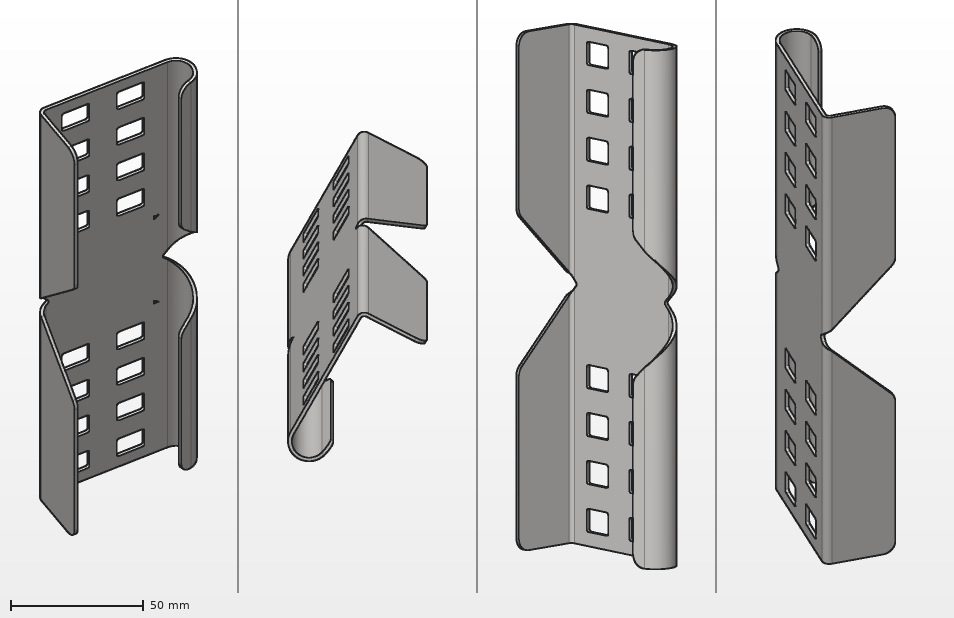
import cadquery as cq
import math

length = 200.0
depth = 64.0
flange_width = 28.5
sheet = 1.5

corner_radius = 3.0
corner_sweep = 90.0
hook_radius = 8.0
hook_sweep = 165.0
lip_length = 5.0
neutral_fraction = 1 / 3

edge_corner_radius = 5.0

corner_notch_half_width = 1.5
hook_notch_half_width = 2.5
notch_tip_radius = 1.0

window_width = 12.0
window_height = 9.0
window_radius = 1.0
window_first_column = 16.0
window_column_pitch = 24.0
window_columns = 2
window_end_distance = 10.0
window_rows = 4
window_rows_span = 55.5

cut_margin = sheet / 2

corner_axis = (corner_radius, corner_radius)
hook_axis = (hook_radius, depth - hook_radius)
lip_slope = math.radians(180 - hook_sweep)
lip_direction = (math.sin(lip_slope), -math.cos(lip_slope))


def polar(centre, radius, angle):
    """Point on a circle, the angle in degrees from +X."""
    turn = math.radians(angle)
    return (centre[0] + radius * math.cos(turn), centre[1] + radius * math.sin(turn))


def along_lip(point, distance):
    return (point[0] + distance * lip_direction[0], point[1] + distance * lip_direction[1])


def bent_sheet():
    """The full-length sheet: flange, corner bend, web, hook and lip."""
    corner_inner = corner_radius - sheet
    hook_inner = hook_radius - sheet
    hook_end = 180 - hook_sweep
    hook_middle = 180 - hook_sweep / 2
    corner_middle = 180 + corner_sweep / 2
    lip_outer = along_lip(polar(hook_axis, hook_radius, hook_end), lip_length)
    lip_inner = along_lip(polar(hook_axis, hook_inner, hook_end), lip_length)
    return (
        cq.Workplane("XY", origin=(0, 0, -length / 2))
        .moveTo(flange_width, 0)
        .lineTo(corner_radius, 0)
        .threePointArc(polar(corner_axis, corner_radius, corner_middle), (0, corner_radius))
        .lineTo(0, hook_axis[1])
        .threePointArc(
            polar(hook_axis, hook_radius, hook_middle),
            polar(hook_axis, hook_radius, hook_end),
        )
        .lineTo(*lip_outer)
        .lineTo(*lip_inner)
        .lineTo(*polar(hook_axis, hook_inner, hook_end))
        .threePointArc(polar(hook_axis, hook_inner, hook_middle), (sheet, hook_axis[1]))
        .lineTo(sheet, corner_radius)
        .threePointArc(polar(corner_axis, corner_inner, corner_middle), (corner_radius, sheet))
        .lineTo(flange_width, sheet)
        .close()
        .extrude(length)
    )


def bend_gain(outer_radius, sweep):
    """Growth of a notch's half width over a bend: the bend's length in the flat sheet."""
    neutral_radius = outer_radius - sheet * (1 - neutral_fraction)
    return neutral_radius * math.radians(sweep)


def bend_notch(axis, outer_radius, sweep, half_width, direction):
    """Notch round a bend leaving the web; direction is +1 anticlockwise, -1 clockwise."""
    inner = outer_radius - sheet - cut_margin
    outer = outer_radius + cut_margin
    middle = 180 + direction * sweep / 2
    end = 180 + direction * sweep
    sector = (
        cq.Workplane("XY")
        .moveTo(*polar((0, 0), inner, 180))
        .lineTo(*polar((0, 0), outer, 180))
        .threePointArc(polar((0, 0), outer, middle), polar((0, 0), outer, end))
        .lineTo(*polar((0, 0), inner, end))
        .threePointArc(polar((0, 0), inner, middle), polar((0, 0), inner, 180))
        .close()
    )
    straight = sector.extrude(half_width)
    flare = sector.toPending().twistExtrude(bend_gain(outer_radius, sweep), direction * sweep)
    upper = straight.union(flare.translate((0, 0, half_width))).translate((*axis, 0))
    return upper.union(upper.mirror("XY"))


def web_notch_tip(bend_line, half_width, direction):
    """Rounded tip of a notch, reaching into the web from a bend line."""
    return (
        cq.Workplane("YZ", origin=(-cut_margin, bend_line, 0))
        .polyline([(0, half_width), (direction * half_width, 0), (0, -half_width)])
        .close()
        .extrude(sheet + 2 * cut_margin)
        .edges("|X and " + (">Y" if direction > 0 else "<Y"))
        .fillet(notch_tip_radius)
    )


def flat_notch(start, direction, half_width, run):
    """45 degree notch opening along a flat stretch of sheet that starts at a bend's end."""
    normal = (-direction[1], direction[0], 0)
    plane = cq.Plane(origin=(*start, 0), xDir=(*direction, 0), normal=normal)
    end_half_width = half_width + run
    return (
        cq.Workplane(plane)
        .polyline([(0, half_width), (run, end_half_width), (run, -end_half_width), (0, -half_width)])
        .close()
        .extrude(sheet + cut_margin, both=True)
    )


def corner_notch():
    """Cutters for the notch running from the web, round the corner and out of the flange."""
    flange_half_width = corner_notch_half_width + bend_gain(corner_radius, corner_sweep)
    return [
        web_notch_tip(corner_radius, corner_notch_half_width, 1),
        bend_notch(corner_axis, corner_radius, corner_sweep, corner_notch_half_width, 1),
        flat_notch((corner_radius, 0), (1, 0), flange_half_width, flange_width - corner_radius + cut_margin),
    ]


def hook_notch():
    """Cutters for the notch running from the web, round the hook and out of the lip."""
    lip_half_width = hook_notch_half_width + bend_gain(hook_radius, hook_sweep)
    lip_start = polar(hook_axis, hook_radius - sheet / 2, 180 - hook_sweep)
    return [
        web_notch_tip(hook_axis[1], hook_notch_half_width, -1),
        bend_notch(hook_axis, hook_radius, hook_sweep, hook_notch_half_width, -1),
        flat_notch(lip_start, lip_direction, lip_half_width, lip_length + cut_margin),
    ]


def round_corners(part):
    """Round the corners of the flange and lip edges, both at the part's ends and beside the notches."""
    part = part.faces(">X").edges("|Y").fillet(edge_corner_radius)
    facing_along_lip = cq.selectors.ParallelDirSelector(cq.Vector(*lip_direction, 0))
    through_lip = cq.selectors.ParallelDirSelector(cq.Vector(-lip_direction[1], lip_direction[0], 0))
    return part.faces(facing_along_lip).edges(through_lip).fillet(edge_corner_radius)


def windows():
    """Cutters for all the windows, alike above and below mid-length."""
    row_pitch = window_rows_span / (window_rows - 1)
    centres = []
    for column in range(window_columns):
        y = window_first_column + column * window_column_pitch
        for row in range(window_rows):
            z = length / 2 - window_end_distance - row * row_pitch
            centres += [(y, z), (y, -z)]
    return (
        cq.Workplane("YZ", origin=(-cut_margin, 0, 0))
        .pushPoints(centres)
        .rect(window_width, window_height)
        .extrude(sheet + 2 * cut_margin)
        .edges("|X")
        .fillet(window_radius)
    )


result = bent_sheet()
for cutter in corner_notch() + hook_notch():
    result = result.cut(cutter)
result = round_corners(result)
result = result.cut(windows())